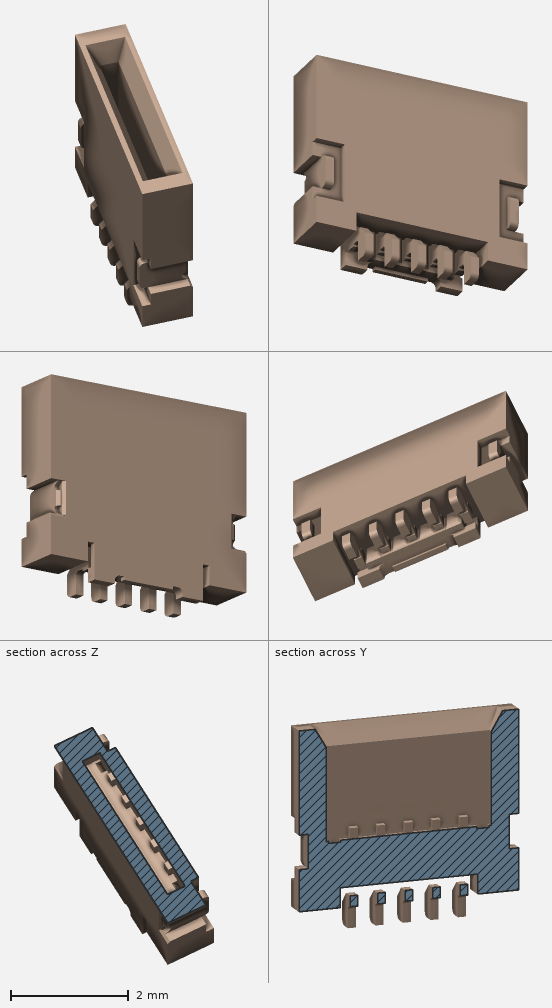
import cadquery as cq
import math


length = 4
thickness = 0.9
top_z = 3.6
skirt_z = 0.75
foot_z = 0.4
foot_gap = 2.495
front_y = -thickness / 2
back_y = thickness / 2

mouth_length = 3.41
mouth_width = 0.705
mouth_depth = 0.35
slot_length = 2.99
slot_front_y = -0.16
slot_back_y = 0.17
slot_floor_z = 1.6
ledge_y = -0.05
floor_low_y = 0.15
floor_drop = 0.015
floor_lip = 0.01
pit_inner_x = 1.24
pit_outer_x = 1.455
pit_depth = 0.145

contact_count = 5
pitch = 0.5
contact_width = 0.15
leg_depth = 0.28
leg_shoulder_z = 0.41
leg_neck_z = 0.6
leg_neck_setback = leg_neck_z - leg_shoulder_z
leg_tip_radius = 0.1
beam_z = 0.4
beam_radius = 0.06
tail_z = 0.36
tail_front_y = 0.02
tail_back_y = 0.2
tip_back_y = -0.075
tip_height = 0.2
tip_drop = 0.011
tip_clearance = 0.01
tip_slot_depth = 0.08

comb_half_length = 1.11
comb_depth = 0.205
comb_end_z = 0.1
comb_middle_z = 0.255
comb_middle_half = 0.695
comb_arc_radius = 0.105
tab_half_length = pitch
tab_z = 0.195
tab_depth = comb_depth / 2
end_groove_z = 0.35
end_groove_y = back_y - 0.12
separator_width = 0.295
separator_bevel = 0.05
separator_face_y = back_y - 0.375
separator_root_y = separator_face_y + separator_bevel
outer_separator_z = comb_middle_z
inner_separator_z = 0.305

notch_depth = 0.17
notch_bottom_z = 1.15
notch_top_z = 1.75
recess_length = 0.53
recess_depth = 0.15
recess_margin = 0.25
solder_tab_thickness = 0.16
solder_tab_clearance = 0.01
solder_tab_slot_depth = 0.08
solder_tab_radius = 0.1
back_bevel = 0.05
seat_depth = 0.255
solder_tab_end_y = 0.35
relief_radius = 0.055
relief_y = 0.35
relief_inset = 0.105


def box(x0, x1, y0, y1, z0, z1):
    return cq.Workplane("XY").box(x1 - x0, y1 - y0, z1 - z0, centered=False).translate((x0, y0, z0))


def extrude_yz(points, x0, x1):
    """Prism along X from a closed outline of (y, z) points."""
    return cq.Workplane("YZ").polyline(points).close().extrude(x1 - x0).translate((x0, 0, 0))


def both_ends(shape):
    return shape.union(shape.mirror("YZ"))


def make_housing():
    half = length / 2
    shell = box(-half, half, front_y, back_y, foot_z, top_z)
    gap = box(-foot_gap / 2, foot_gap / 2, front_y, back_y, foot_z, skirt_z)
    return shell.cut(gap)


def make_card_opening():
    """Tapered mouth over a slot whose floor slopes down behind the contact ledge."""
    slot_width = slot_back_y - slot_front_y
    slot_center_y = (slot_back_y + slot_front_y) / 2
    mouth = (
        cq.Workplane("XY", origin=(0, 0, top_z))
        .rect(mouth_length, mouth_width)
        .workplane(offset=-mouth_depth)
        .center(0, slot_center_y)
        .rect(slot_length, slot_width)
        .loft(ruled=True)
    )
    low_z = slot_floor_z - floor_drop
    slot_outline = [
        (slot_front_y, top_z - mouth_depth),
        (slot_front_y, slot_floor_z),
        (ledge_y, slot_floor_z),
        (floor_low_y, low_z),
        (slot_back_y, low_z + floor_lip),
        (slot_back_y, top_z - mouth_depth),
    ]
    slot = extrude_yz(slot_outline, -slot_length / 2, slot_length / 2)
    pit_outline = [
        (ledge_y, slot_floor_z),
        (slot_front_y, slot_floor_z),
        (slot_front_y, slot_floor_z - pit_depth),
    ]
    pits = both_ends(extrude_yz(pit_outline, pit_inner_x, pit_outer_x))
    return mouth.union(slot).union(pits)


def make_side_cutter():
    """Side notch, front recess and rear bevels at the +X end, mirrored to the other end."""
    half = length / 2
    floor_x = half - notch_depth
    seat_x = half - seat_depth
    notch = box(floor_x, half, front_y, back_y, notch_bottom_z, notch_top_z)
    recess = box(
        half - recess_length, half, front_y, front_y + recess_depth,
        notch_bottom_z - recess_margin, notch_top_z + recess_margin,
    )
    bevel_y = back_y - back_bevel
    floor_bevel = extrude_yz(
        [(bevel_y, notch_bottom_z), (back_y, notch_bottom_z), (back_y, notch_bottom_z - back_bevel)],
        seat_x - back_bevel, half,
    )
    rear_outline = [
        (floor_x, bevel_y),
        (seat_x, bevel_y),
        (seat_x - back_bevel, back_y),
        (floor_x, back_y),
    ]
    rear_bevel = (
        cq.Workplane("XY", origin=(0, 0, notch_bottom_z))
        .polyline(rear_outline).close().extrude(notch_top_z - notch_bottom_z)
    )
    tab_bevel = bevel_y - solder_tab_end_y
    tab_end_bevel = (
        cq.Workplane("XY", origin=(floor_x, bevel_y, notch_bottom_z + relief_inset))
        .polyline([(0, 0), (0, -tab_bevel), (-tab_bevel, 0)])
        .close()
        .extrude(notch_top_z - notch_bottom_z - 2 * relief_inset)
    )
    tab_slot_x = floor_x - solder_tab_thickness
    tab_slot = box(
        tab_slot_x - solder_tab_clearance, tab_slot_x,
        front_y + recess_depth, front_y + recess_depth + solder_tab_slot_depth,
        notch_bottom_z, notch_top_z,
    )
    cutter = notch.union(recess).union(floor_bevel).union(rear_bevel).union(tab_end_bevel).union(tab_slot)
    middle_z = (notch_bottom_z + notch_top_z) / 2
    for side in (-1, 1):
        edge_z = middle_z + side * (notch_top_z - notch_bottom_z) / 2
        center_z = edge_z - side * relief_inset
        slant = relief_radius * math.sqrt(0.5)
        relief = (
            cq.Workplane("YZ", origin=(seat_x, 0, 0))
            .moveTo(bevel_y, center_z - side * relief_radius)
            .lineTo(relief_y, center_z - side * relief_radius)
            .threePointArc((relief_y - relief_radius, center_z), (relief_y - slant, center_z + side * slant))
            .lineTo(bevel_y, edge_z)
            .close()
            .extrude(notch_depth)
        )
        cutter = cutter.union(relief)
    return both_ends(cutter)


def make_solder_tabs():
    outer_x = length / 2 - notch_depth
    tab = (
        box(
            outer_x - solder_tab_thickness, outer_x,
            front_y, front_y + recess_depth,
            notch_bottom_z, notch_top_z,
        )
        .edges("|X and <Y")
        .fillet(solder_tab_radius)
    )
    return both_ends(tab)


def make_contact(x):
    """Leg, bridging beam and rear tail of one contact, with its tip above the slot ledge."""
    leg_back_y = front_y + leg_depth
    tip_arc = leg_tip_radius * (1 - math.sqrt(0.5))
    beam_arc = beam_radius * (1 - math.sqrt(0.5))
    body = (
        cq.Workplane("YZ")
        .moveTo(front_y + leg_tip_radius, 0)
        .lineTo(leg_back_y, 0)
        .lineTo(leg_back_y, beam_z - beam_radius)
        .threePointArc((leg_back_y + beam_arc, beam_z - beam_arc), (leg_back_y + beam_radius, beam_z))
        .lineTo(tail_front_y, beam_z)
        .lineTo(tail_front_y, tail_z)
        .lineTo(tail_back_y, tail_z)
        .lineTo(tail_back_y, skirt_z)
        .lineTo(tail_front_y, skirt_z)
        .lineTo(tail_front_y, leg_neck_z)
        .lineTo(front_y + leg_neck_setback, leg_neck_z)
        .lineTo(front_y, leg_shoulder_z)
        .lineTo(front_y, leg_tip_radius)
        .threePointArc((front_y + tip_arc, tip_arc), (front_y + leg_tip_radius, 0))
        .close()
        .extrude(contact_width)
        .translate((x - contact_width / 2, 0, 0))
    )
    tip_root_z = slot_floor_z - tip_slot_depth
    tip_z = slot_floor_z + tip_height
    tip_outline = [
        (slot_front_y, tip_root_z),
        (tip_back_y, tip_root_z),
        (tip_back_y, tip_z - tip_drop),
        (slot_front_y, tip_z),
    ]
    return body.union(extrude_yz(tip_outline, x - contact_width / 2, x + contact_width / 2))


def make_tip_slot(x):
    """Clearance in the slot floor on both sides of a contact tip."""
    half = contact_width / 2 + tip_clearance
    return box(x - half, x + half, slot_front_y, tip_back_y, slot_floor_z - tip_slot_depth, slot_floor_z)


def make_comb_wall():
    """Rear wall with low ends and a higher middle, plus the wall that carries the separators."""
    arc_x = comb_middle_half - comb_arc_radius
    arc_z = comb_middle_z - comb_arc_radius
    arc_mid = comb_arc_radius * math.sqrt(0.5)
    wall = box(-comb_half_length, comb_half_length, back_y - comb_depth, back_y, comb_end_z, skirt_z)
    relief = (
        cq.Workplane("XZ", origin=(0, back_y, 0))
        .moveTo(-comb_middle_half, comb_end_z)
        .lineTo(-comb_middle_half, arc_z)
        .threePointArc((-arc_x - arc_mid, arc_z + arc_mid), (-arc_x, comb_middle_z))
        .lineTo(arc_x, comb_middle_z)
        .threePointArc((arc_x + arc_mid, arc_z + arc_mid), (comb_middle_half, arc_z))
        .lineTo(comb_middle_half, comb_end_z)
        .close()
        .extrude(comb_depth)
    )
    middle_tab = box(-tab_half_length, tab_half_length, back_y - tab_depth, back_y, tab_z, skirt_z)
    separator_span_half = (contact_count - 2) * pitch / 2 + separator_width / 2
    groove = box(
        separator_span_half, comb_half_length,
        back_y - comb_depth, end_groove_y, end_groove_z, skirt_z,
    )
    separator_wall = box(
        -separator_span_half, separator_span_half,
        separator_root_y, end_groove_y, comb_middle_z, skirt_z,
    )
    return wall.cut(relief).union(middle_tab).cut(both_ends(groove)).union(separator_wall)


def make_separator(x, bottom_z):
    """Rib between two contacts, bevelled on its sides and lower end."""
    half = separator_width / 2
    rib = box(x - half, x + half, separator_face_y, end_groove_y, bottom_z, skirt_z)
    side_bevel = (
        cq.Workplane("XY", origin=(x, separator_face_y, bottom_z))
        .polyline([(half, 0), (half, separator_bevel), (half - separator_bevel, 0)])
        .close()
        .extrude(skirt_z - bottom_z)
    )
    end_bevel = extrude_yz(
        [
            (separator_face_y, bottom_z),
            (separator_root_y, bottom_z),
            (separator_face_y, bottom_z + separator_bevel),
        ],
        x - half, x + half,
    )
    mirrored_bevel = side_bevel.mirror("YZ", (x, 0, 0))
    return rib.cut(side_bevel).cut(mirrored_bevel).cut(end_bevel)


result = make_housing().cut(make_card_opening()).cut(make_side_cutter()).union(make_solder_tabs())
result = result.union(make_comb_wall())

separator_count = contact_count - 1
for index in range(separator_count):
    separator_x = (index - (separator_count - 1) / 2) * pitch
    is_outer = index in (0, separator_count - 1)
    result = result.union(make_separator(separator_x, outer_separator_z if is_outer else inner_separator_z))

for index in range(contact_count):
    contact_x = (index - (contact_count - 1) / 2) * pitch
    result = result.cut(make_tip_slot(contact_x)).union(make_contact(contact_x))